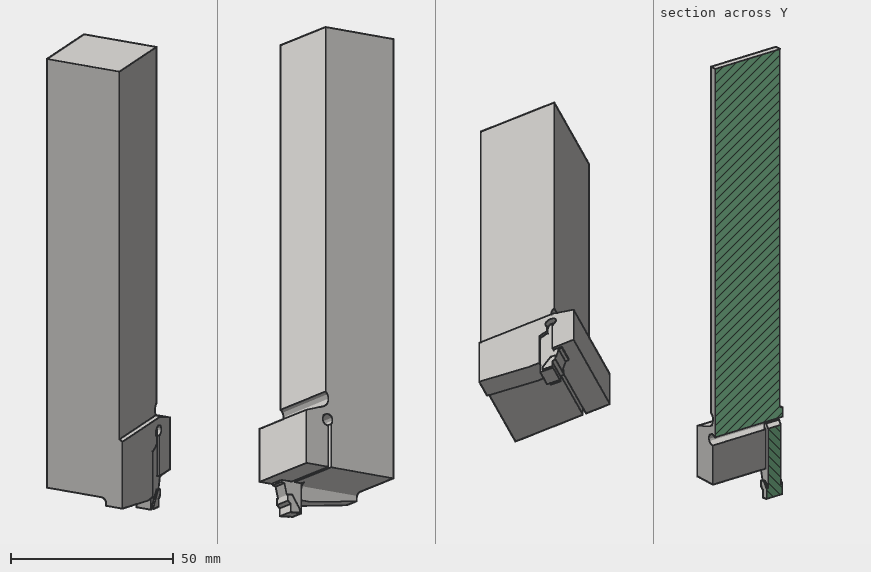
import cadquery as cq

length = 150.0
shank = 25.0
head_width = 26.1
head_depth = 32.1
body_bottom = 9.9
side_step_low = 29.2
side_step_high = 29.8

shoulder_z = 26.8
relief_start = (26.2, 28.8)
relief_middle = (24.0, 31.5)
relief_end_z = 33.8

blade_x = 20.4
blade_fillet = 1.6
blade_bottom = 4.5
blade_flat_start = 17.1
blade_front_z = 7.4

hole_y = 24.3
hole_z = 24.9
hole_radius = 1.8
slit_front = 23.0
slit_back = 24.0

insert_front = 20.4
insert_thickness = 5.0
insert_tang_back = 24.9
insert_shoulder_back = 27.8
insert_shoulder_z = 9.3
neck_z = 20.7
neck_slope_z = 19.5
neck_top_start = 23.7
tang_top = 25.0
tang_top_front = 23.8
edge_relief = 0.3
cutting_edge_y = 24.8
nose_flare = 0.6
face_bottom = (26.7, 9.0)
nose_top = (25.8, 5.4)
rake_top = (25.8, 3.5)
rake_bottom = (cutting_edge_y, 2.5)
flare_crest = (24.3, 5.7)
flare_end = (21.5, 1.5)


def block(x0, x1, y0, y1, z0, z1):
    return cq.Workplane("XY").box(x1 - x0, y1 - y0, z1 - z0, centered=False).translate((x0, y0, z0))


def plate(points, x0, x1):
    """Extrude a closed Y-Z outline between two X positions."""
    return cq.Workplane("YZ", origin=(x0, 0, 0)).polyline(points).close().extrude(x1 - x0)


def make_side_profile():
    """Shank and clamping head, full head width."""
    return (
        cq.Workplane("YZ")
        .moveTo(0, body_bottom)
        .lineTo(head_depth, body_bottom)
        .lineTo(head_depth, shoulder_z)
        .lineTo(*relief_start)
        .threePointArc(relief_middle, (shank, relief_end_z))
        .lineTo(shank, length)
        .lineTo(0, length)
        .close()
        .extrude(head_width)
    )


def make_side_step():
    """Material beside the shank, above the thicker head."""
    return (
        cq.Workplane("XZ")
        .polyline([
            (head_width, side_step_low),
            (shank, side_step_high),
            (shank, length),
            (head_width, length),
        ])
        .close()
        .extrude(-head_depth)
    )


def make_blade():
    """Thin support under the insert, with a concave fillet to the head."""
    section = (
        cq.Workplane("XZ")
        .moveTo(blade_x - blade_fillet, body_bottom)
        .radiusArc((blade_x, body_bottom - blade_fillet), blade_fillet)
        .lineTo(blade_x, blade_bottom)
        .lineTo(head_width, blade_bottom)
        .lineTo(head_width, body_bottom)
        .close()
        .extrude(-insert_front)
    )
    outline = plate([
        (0, body_bottom),
        (0, blade_front_z),
        (blade_flat_start, blade_bottom),
        (insert_front, blade_bottom),
        (insert_front, body_bottom),
    ], 0, head_width)
    return section.intersect(outline)


tang_edge = [
    (insert_front, neck_slope_z),
    (slit_front, neck_z),
    (slit_front, neck_top_start),
    (tang_top_front, tang_top),
    (insert_tang_back, tang_top),
    (insert_tang_back, body_bottom),
]


def make_holder():
    body = make_side_profile().cut(make_side_step()).union(make_blade())
    hole = (
        cq.Workplane("YZ")
        .center(hole_y, hole_z)
        .circle(hole_radius)
        .extrude(head_width)
    )
    slit = block(0, head_width, slit_front, slit_back, body_bottom, hole_z)
    pocket = plate([(insert_front, body_bottom)] + tang_edge, blade_x, head_width)
    return body.cut(hole).cut(slit).cut(pocket)


def make_insert():
    nose_edge = [nose_top, rake_top, rake_bottom, (cutting_edge_y, 0)]
    shoulder = [
        (insert_shoulder_back, body_bottom),
        (insert_shoulder_back, insert_shoulder_z),
        face_bottom,
    ]
    insert_right = blade_x + insert_thickness
    core = plate(
        [(insert_front, edge_relief)] + tang_edge + shoulder + nose_edge, blade_x, insert_right
    )
    flared_nose = plate(
        nose_edge + [(flare_end[0], edge_relief), flare_end, flare_crest],
        blade_x - nose_flare,
        insert_right + nose_flare,
    )
    return core.union(flared_nose)


holder = make_holder()
insert = make_insert()

result = cq.Compound.makeCompound([holder.val(), insert.val()])